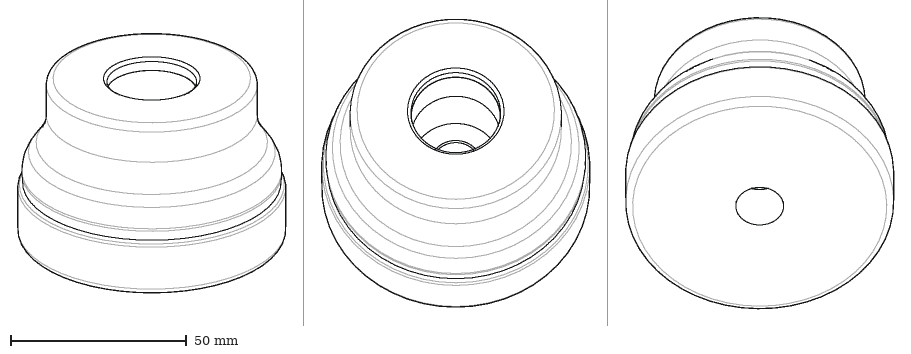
import cadquery as cq
import math

base_radius = 38.1
total_height = 49.8
edge_fillet = 2.0

seam_z = 16.85
shoulder_height = 1.5
shoulder_z = seam_z - shoulder_height
shoulder_break_z = seam_z - shoulder_height / 2
shoulder_break_radius = 37.65
seam_radius = 36.7

hub_radius = 18.3
hub_top_z = 34.05

bulge_radius = 36.95
bulge_bottom_z = 19.8
bulge_top_z = 20.6
bulge_arc_radius = 10.0
flare_arc_radius = 15.0
neck_radius = 30.0
neck_bottom_z = 38.25

bore_radius = 12.65
mouth_clearance = 0.1
mouth_radius = bore_radius + mouth_clearance
mouth_depth = 3.8
mouth_bottom_z = total_height - mouth_depth
mouth_chamfer = 1.0
bore_floor_z = seam_z
hole_radius = 6.8
hole_chamfer = 0.45

arc_sum = bulge_arc_radius + flare_arc_radius
rise = neck_bottom_z - bulge_top_z
inset = arc_sum - (bulge_radius - neck_radius)
slope = math.atan2(rise, inset) - math.acos(arc_sum / math.hypot(rise, inset))

def bulge_point(angle):
    """Point on the convex arc, measured from its widest place."""
    return (
        bulge_radius - bulge_arc_radius * (1 - math.cos(angle)),
        bulge_top_z + bulge_arc_radius * math.sin(angle),
    )

def flare_point(angle):
    """Point on the concave arc, measured down from the neck."""
    return (
        neck_radius + flare_arc_radius * (1 - math.cos(angle)),
        neck_bottom_z - flare_arc_radius * math.sin(angle),
    )

def revolve(outline):
    """Turn a closed radius-height outline about the Z axis."""
    return outline.close().revolve(360, (0, 0, 0), (0, 1, 0))

def cylinder(radius, bottom_z, top_z):
    return cq.Workplane("XY").workplane(offset=bottom_z).circle(radius).extrude(top_z - bottom_z)

def make_base():
    """Flanged base with a hub, a blind bore and a chamfered through hole."""
    flange = revolve(
        cq.Workplane("XZ")
        .lineTo(base_radius - edge_fillet, 0)
        .radiusArc((base_radius, edge_fillet), -edge_fillet)
        .lineTo(base_radius, shoulder_z)
        .tangentArcPoint((shoulder_break_radius, shoulder_break_z), relative=False)
        .lineTo(seam_radius, seam_z)
        .lineTo(0, seam_z)
    )
    hub = cylinder(hub_radius, seam_z, hub_top_z)
    bore = cylinder(bore_radius, bore_floor_z, hub_top_z)
    hole = cylinder(hole_radius, 0, bore_floor_z)
    hole_rim = revolve(
        cq.Workplane("XZ")
        .moveTo(0, bore_floor_z - hole_chamfer)
        .lineTo(hole_radius, bore_floor_z - hole_chamfer)
        .lineTo(hole_radius + hole_chamfer, bore_floor_z)
        .lineTo(0, bore_floor_z)
    )
    return flange.union(hub).cut(bore).cut(hole).cut(hole_rim)

def make_cover():
    """Bell-shaped cover that fits over the hub and rests on the flange."""
    bell = revolve(
        cq.Workplane("XZ")
        .moveTo(0, seam_z)
        .lineTo(seam_radius, seam_z)
        .lineTo(bulge_radius, bulge_bottom_z)
        .lineTo(bulge_radius, bulge_top_z)
        .threePointArc(bulge_point(slope / 2), bulge_point(slope))
        .lineTo(*flare_point(slope))
        .threePointArc(flare_point(slope / 2), flare_point(0))
        .lineTo(neck_radius, total_height - edge_fillet)
        .radiusArc((neck_radius - edge_fillet, total_height), -edge_fillet)
        .lineTo(0, total_height)
    )
    hub_socket = cylinder(hub_radius, seam_z, hub_top_z)
    bore = revolve(
        cq.Workplane("XZ")
        .moveTo(0, hub_top_z)
        .lineTo(bore_radius, hub_top_z)
        .lineTo(bore_radius, mouth_bottom_z)
        .lineTo(mouth_radius, mouth_bottom_z)
        .lineTo(mouth_radius, total_height - mouth_chamfer)
        .lineTo(mouth_radius + mouth_chamfer, total_height)
        .lineTo(0, total_height)
    )
    return bell.cut(hub_socket).cut(bore)

base = make_base()
cover = make_cover()

result = cq.Compound.makeCompound([base.solids().val(), cover.solids().val()])